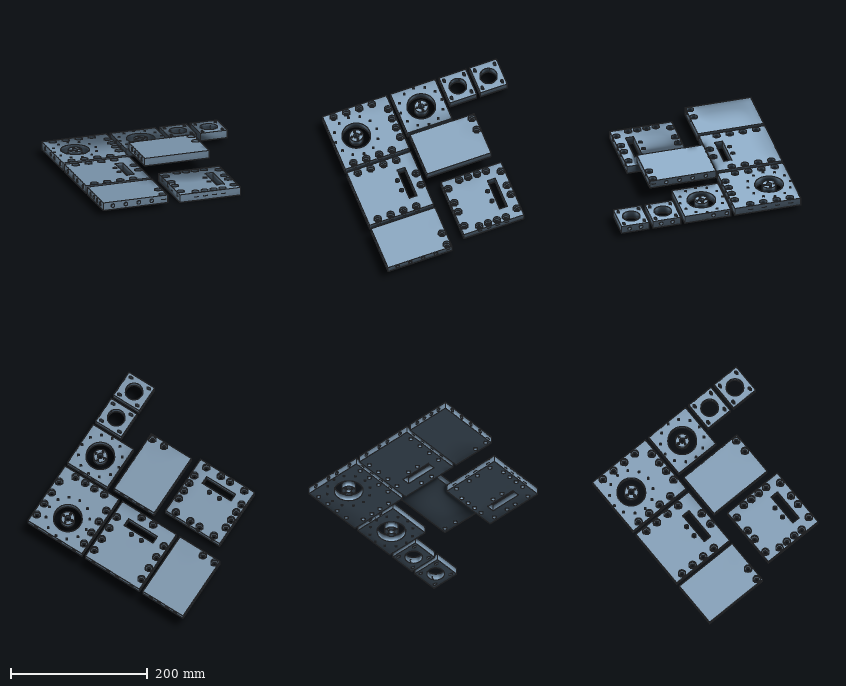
import cadquery as cq
import math

THICKNESS = 12.0
PANEL_WIDTH = 94.0
PANEL_DEPTH = 100.0
COVER_WIDTH = 70.0
MOTOR_WIDTH = 45.0
MOTOR_DEPTH = 42.0

OVERALL_DEPTH = 272
COLUMN_GAP = 6.0
ROW_GAP = (OVERALL_DEPTH - PANEL_DEPTH - COVER_WIDTH - 2 * MOTOR_DEPTH) / 3
LAYER_Z = 9.0
RAISED_Z = 23.0
RAISED_X = 81.3
LOWERED_X = 159.0
LOWERED_Y = 124.8
SECOND_ROW_Y = PANEL_DEPTH + ROW_GAP
MOTOR_ROW_Y = SECOND_ROW_Y + COVER_WIDTH + ROW_GAP
MOTOR_PITCH_Y = MOTOR_DEPTH + ROW_GAP
SECOND_COLUMN_X = PANEL_WIDTH + COLUMN_GAP
THIRD_COLUMN_X = SECOND_COLUMN_X + PANEL_WIDTH + COLUMN_GAP

SCREW_DIAMETER = 6.0
HEAD_DIAMETER = 11.0
HEAD_DEPTH = 6.5
SCREW_INSET = THICKNESS / 2
EDGE_HOLE_DIAMETER = 5.5
EDGE_HOLE_DEPTH = 10.0

SIDE_ROW_START = 15.0
SIDE_ROW_SPAN = 60.0
SIDE_ROW = [SIDE_ROW_START + i * SIDE_ROW_SPAN / 3 for i in range(4)]
END_ROW_SPAN = 42.0
PAIR_PITCH = 20.0
INNER_PITCH = 16.0
OUTER_PITCH = 66.0
BEARING_OUTER_PITCH = 50.0
MOTOR_SCREW_PITCH = 17.5

SEAT_DIAMETER = 42.0
SEAT_CENTER_Y = COVER_WIDTH / 2
SEAT_SCREW_COUNT = 12
SEAT_SCREW_RADIUS = 32.0
SMALL_SCREW_DIAMETER = 2.7
HUB_DIAMETER = 20.0
HUB_BORE = 8.0
HUB_SCREW_COUNT = 4
HUB_SCREW_RADIUS = 7.0

SLOT_LENGTH = 50.0
SLOT_WIDTH = 12.0
SLOT_BACK_INSET = 17.7
MOTOR_SCREW_BACK_INSET = 35.5
MOTOR_BORE = 25.5
MOTOR_SLOT_PITCH = 31.0
MOTOR_SLOT_LENGTH = 6.0
MOTOR_SLOT_WIDTH = 3.3


def plate(width, depth):
    """Flat plate with its front left bottom corner at the origin."""
    return cq.Workplane("XY").box(width, depth, THICKNESS, centered=False)


def pair(center, pitch):
    """Two positions set evenly about a center."""
    return [center - pitch / 2, center + pitch / 2]


def end_row(width):
    """Four evenly spaced positions centered on a width."""
    start = (width - END_ROW_SPAN) / 2
    return [start + i * END_ROW_SPAN / 3 for i in range(4)]


def panel_end_row(outer_pitch):
    """Four positions across a panel: an outer pair and an inner pair."""
    middle = PANEL_WIDTH / 2
    return pair(middle, outer_pitch) + pair(middle, INNER_PITCH)


def drill(body, points, diameter):
    """Cut round holes through the thickness."""
    tools = cq.Workplane("XY").pushPoints(points).circle(diameter / 2).extrude(THICKNESS)
    return body.cut(tools)


def counterbore(body, points):
    """Cut screw holes through the thickness, with a recess for each head in the top."""
    body = drill(body, points, SCREW_DIAMETER)
    heads = cq.Workplane("XY", origin=(0, 0, THICKNESS - HEAD_DEPTH))
    return body.cut(heads.pushPoints(points).circle(HEAD_DIAMETER / 2).extrude(HEAD_DEPTH))


def drill_front(body, x_positions):
    """Cut blind holes into the front edge at mid thickness."""
    points = [(x, THICKNESS / 2) for x in x_positions]
    tools = cq.Workplane("XZ").pushPoints(points).circle(EDGE_HOLE_DIAMETER / 2)
    return body.cut(tools.extrude(-EDGE_HOLE_DEPTH))


def drill_left(body, y_positions):
    """Cut blind holes into the left edge at mid thickness."""
    points = [(y, THICKNESS / 2) for y in y_positions]
    tools = cq.Workplane("YZ").pushPoints(points).circle(EDGE_HOLE_DIAMETER / 2)
    return body.cut(tools.extrude(EDGE_HOLE_DEPTH))


def circle_points(center, radius, count):
    """Evenly spaced points on a circle."""
    angles = [2 * math.pi * i / count for i in range(count)]
    return [(center[0] + radius * math.cos(a), center[1] + radius * math.sin(a)) for a in angles]


def side_points(y_positions):
    """Screw positions along both sides of a panel."""
    return [(x, y) for x in (SCREW_INSET, PANEL_WIDTH - SCREW_INSET) for y in y_positions]


def cut_seat(body, center):
    """Cut a bearing seat and its ring of screw holes."""
    body = drill(body, [center], SEAT_DIAMETER)
    ring = circle_points(center, SEAT_SCREW_RADIUS, SEAT_SCREW_COUNT)
    return drill(body, ring, SMALL_SCREW_DIAMETER)


def make_hub():
    """Round hub with a bore and four screw holes, centered on the origin."""
    hub = cq.Workplane("XY").circle(HUB_DIAMETER / 2).extrude(THICKNESS)
    hub = drill(hub, [(0, 0)], HUB_BORE)
    return drill(hub, circle_points((0, 0), HUB_SCREW_RADIUS, HUB_SCREW_COUNT), SMALL_SCREW_DIAMETER)


def make_bearing_panel():
    """Wide panel with a bearing seat and screws along three edges."""
    panel = cut_seat(plate(PANEL_WIDTH, PANEL_DEPTH), (PANEL_WIDTH / 2, SEAT_CENTER_Y))
    back = [(x, PANEL_DEPTH - SCREW_INSET) for x in panel_end_row(BEARING_OUTER_PITCH)]
    panel = counterbore(panel, back + side_points(SIDE_ROW))
    return drill_front(panel, panel_end_row(OUTER_PITCH))


def make_bearing_plate():
    """Square plate with a bearing seat and two screw holes in each of its left and front edges."""
    body = cut_seat(plate(COVER_WIDTH, COVER_WIDTH), (COVER_WIDTH / 2, SEAT_CENTER_Y))
    body = drill_left(body, [SCREW_INSET, SCREW_INSET + PAIR_PITCH])
    return drill_front(body, pair(COVER_WIDTH / 2, PAIR_PITCH))


def cut_belt_slot(body, depth):
    """Cut the belt slot and the two motor screw holes in front of it."""
    middle = PANEL_WIDTH / 2
    slot = cq.Workplane("XY").box(SLOT_LENGTH, SLOT_WIDTH, THICKNESS, centered=(True, False, False))
    body = body.cut(slot.translate((middle, depth - SLOT_BACK_INSET - SLOT_WIDTH, 0)))
    screws = [(x, depth - MOTOR_SCREW_BACK_INSET) for x in pair(middle, MOTOR_SCREW_PITCH)]
    return drill(body, screws, SCREW_DIAMETER)


def make_slotted_panel():
    """Wide panel with a belt slot and screws along three edges."""
    panel = cut_belt_slot(plate(PANEL_WIDTH, PANEL_DEPTH), PANEL_DEPTH)
    back = [(x, PANEL_DEPTH - SCREW_INSET) for x in pair(PANEL_WIDTH / 2, PAIR_PITCH)]
    panel = counterbore(panel, back + side_points(SIDE_ROW))
    return drill_front(panel, panel_end_row(OUTER_PITCH))


def make_square_slotted_panel():
    """Square panel with a belt slot and screws along all four edges."""
    panel = cut_belt_slot(plate(PANEL_WIDTH, PANEL_WIDTH), PANEL_WIDTH)
    end_rows = (SCREW_INSET, PANEL_WIDTH - SCREW_INSET)
    ends = [(x, y) for x in panel_end_row(OUTER_PITCH) for y in end_rows]
    return counterbore(panel, ends + side_points(end_row(PANEL_WIDTH)))


def make_cover():
    """Plain cover with two screws at its back left corner and holes in two edges."""
    cover = plate(COVER_WIDTH, PANEL_DEPTH)
    back_y = PANEL_DEPTH - SCREW_INSET
    cover = counterbore(cover, [(SCREW_INSET, back_y), (SCREW_INSET + PAIR_PITCH, back_y)])
    cover = drill_left(cover, SIDE_ROW)
    return drill_front(cover, end_row(COVER_WIDTH))


def make_motor_plate():
    """Small plate with a motor bore, four adjusting slots and two holes in its left edge."""
    middle_x = MOTOR_WIDTH / 2
    middle_y = MOTOR_DEPTH / 2
    body = drill(plate(MOTOR_WIDTH, MOTOR_DEPTH), [(middle_x, middle_y)], MOTOR_BORE)
    slots = (
        cq.Workplane("XY", origin=(middle_x, middle_y, 0))
        .rarray(MOTOR_SLOT_PITCH, MOTOR_SLOT_PITCH, 2, 2)
        .slot2D(MOTOR_SLOT_LENGTH, MOTOR_SLOT_WIDTH)
        .extrude(THICKNESS)
    )
    return drill_left(body.cut(slots), pair(middle_y, MOTOR_SCREW_PITCH))


bearing_panel = make_bearing_panel().translate((0, 0, LAYER_Z))
slotted_panel = make_slotted_panel().translate((SECOND_COLUMN_X, 0, LAYER_Z))
side_cover = make_cover().mirror("YZ").translate((THIRD_COLUMN_X + COVER_WIDTH, 0, LAYER_Z))
bearing_plate = make_bearing_plate().translate((0, SECOND_ROW_Y, LAYER_Z))
raised_cover = make_cover().translate((RAISED_X, SECOND_ROW_Y, RAISED_Z))
square_slotted_panel = make_square_slotted_panel().translate((LOWERED_X, LOWERED_Y, 0))

hub_centers = [
    (PANEL_WIDTH / 2, SEAT_CENTER_Y),
    (COVER_WIDTH / 2, SECOND_ROW_Y + SEAT_CENTER_Y),
]
hubs = [make_hub().translate((x, y, LAYER_Z)) for x, y in hub_centers]
motor_plates = [
    make_motor_plate().translate((0, MOTOR_ROW_Y + i * MOTOR_PITCH_Y, LAYER_Z)) for i in range(2)
]

bodies = [bearing_panel, slotted_panel, side_cover, bearing_plate, raised_cover, square_slotted_panel]
result = cq.Compound.makeCompound([body.val() for body in bodies + hubs + motor_plates])